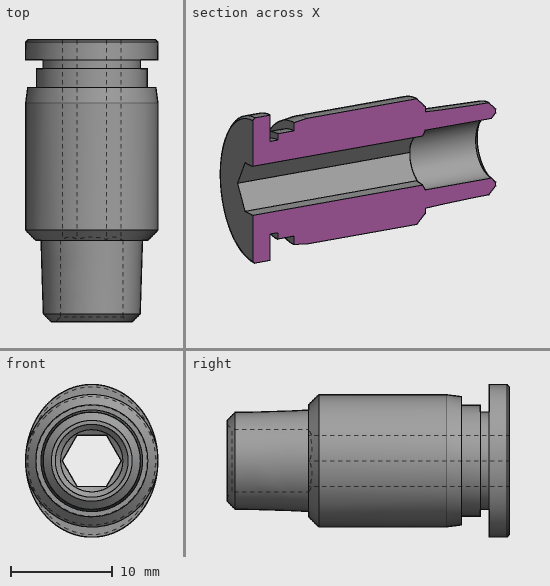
import cadquery as cq
import math

total_length = 27.7
nose_length = 8.0
nose_chamfer = 0.8
body_front_chamfer = 1.0
body_taper_length = 1.5
collar_length = 1.85
neck_length = 0.85
flange_thickness = 2.0

flange_front = total_length - flange_thickness
collar_end = flange_front - neck_length
body_end = collar_end - collar_length

body_diameter = 13.0
body_rear_diameter = 12.6
collar_diameter = 10.9
neck_diameter = 9.6

thread_taper = 1 / 16
gauge_diameter = 9.728
gauge_distance = 4.0

flange_width = 13.0
flange_height = 15.0
flange_rear_chamfer = 0.25

bore_diameter = 6.1
bore_depth = nose_length
bore_mouth_diameter = 7.15
bore_mouth_depth = 0.5
bore_point_angle = 118.0
hexagon_across_flats = 5.0


def thread_radius(y):
    """Radius of the tapered nose at distance y from its tip."""
    return (gauge_diameter + (y - gauge_distance) * thread_taper) / 2


def revolve_about_y(points):
    """Turn a closed (radius, y) outline fully around the Y axis."""
    return cq.Workplane("XY").polyline(points).close().revolve(360, (0, 0, 0), (0, 1, 0))


def make_body():
    """Nose, body, collar and neck as one turned shape."""
    body_radius = body_diameter / 2
    nose_shoulder_radius = thread_radius(nose_chamfer)
    return revolve_about_y([
        (0, 0),
        (nose_shoulder_radius - nose_chamfer, 0),
        (nose_shoulder_radius, nose_chamfer),
        (thread_radius(nose_length), nose_length),
        (body_radius - body_front_chamfer, nose_length),
        (body_radius, nose_length + body_front_chamfer),
        (body_radius, body_end - body_taper_length),
        (body_rear_diameter / 2, body_end),
        (collar_diameter / 2, body_end),
        (collar_diameter / 2, collar_end),
        (neck_diameter / 2, collar_end),
        (neck_diameter / 2, flange_front),
        (0, flange_front),
    ])


def make_flange():
    """Elliptical plate, taller along Z, with its rear rim chamfered."""
    plate = (
        cq.Workplane("XZ", origin=(0, total_length, 0))
        .ellipse(flange_width / 2, flange_height / 2)
        .extrude(flange_thickness)
    )
    return plate.faces(">Y").edges().chamfer(flange_rear_chamfer)


def make_bore():
    """Round bore with a countersunk mouth and a conical bottom."""
    bore_radius = bore_diameter / 2
    point_length = bore_radius / math.tan(math.radians(bore_point_angle / 2))
    return revolve_about_y([
        (0, 0),
        (bore_mouth_diameter / 2, 0),
        (bore_radius, bore_mouth_depth),
        (bore_radius, bore_depth),
        (0, bore_depth + point_length),
    ])


def make_hexagon_socket():
    """Hexagonal passage along the full length, with corners on the X axis."""
    side_count = 6
    across_corners = hexagon_across_flats / math.cos(math.pi / side_count)
    return (
        cq.Workplane("XZ", origin=(0, total_length, 0))
        .polygon(side_count, across_corners)
        .extrude(total_length)
    )


outer_part = make_body().union(make_flange())
passage = make_bore().union(make_hexagon_socket())
result = outer_part.cut(passage)